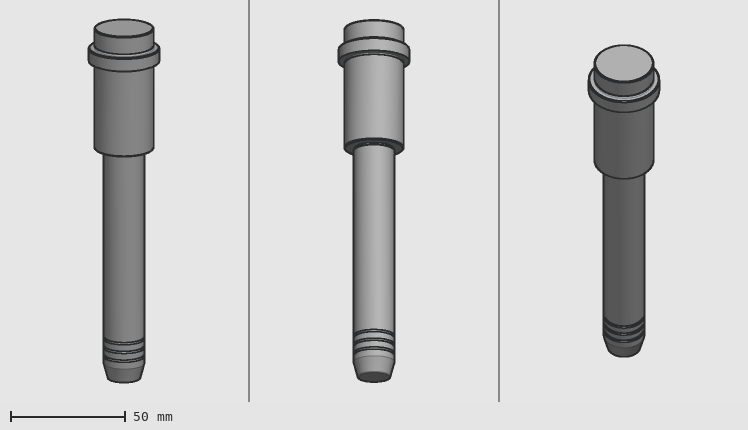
import cadquery as cq
import math

total_length = 160.0
head_length = 55.0
collar_offset = 9.0
collar_height = 6.0

head_diameter = 26.0
collar_diameter = 31.0
shaft_diameter = 18.0

edge_chamfer = 0.5
tip_fillet = 0.5

taper_length = 7.0
taper_angle = 15.0

shoulder_relief_width = 1.0
shoulder_relief_depth = 0.5

groove_radius = 0.5
ring_pitch = 4.0
ring_count = 3
first_ring_height = 10.5

shoulder_height = total_length - head_length
collar_top = total_length - collar_offset
collar_bottom = collar_top - collar_height


def cylinder(diameter, bottom, top):
    return cq.Workplane("XY").workplane(offset=bottom).circle(diameter / 2).extrude(top - bottom)


def make_head():
    return cylinder(head_diameter, shoulder_height, total_length).edges().chamfer(edge_chamfer)


def make_collar():
    """Collar with a chamfered upper rim and a sharp lower rim."""
    return cylinder(collar_diameter, collar_bottom, collar_top).faces(">Z").edges().chamfer(edge_chamfer)


def make_shaft():
    """Shaft with a conical tip whose end edge is rounded."""
    tip_radius = shaft_diameter / 2 - taper_length * math.tan(math.radians(taper_angle))
    tip = (
        cq.Workplane("XY")
        .circle(tip_radius)
        .workplane(offset=taper_length)
        .circle(shaft_diameter / 2)
        .loft(ruled=True)
        .faces("<Z")
        .edges()
        .fillet(tip_fillet)
    )
    return tip.union(cylinder(shaft_diameter, taper_length, shoulder_height))


def cut_shoulder_relief(body):
    relief = (
        cq.Workplane("XY")
        .workplane(offset=shoulder_height - shoulder_relief_width)
        .circle(shaft_diameter / 2 + shoulder_relief_depth)
        .circle(shaft_diameter / 2 - shoulder_relief_depth)
        .extrude(shoulder_relief_width)
    )
    return body.cut(relief)


def cut_round_groove(body, diameter, middle):
    """Sink a half-round groove into a cylinder, centred at height `middle`."""
    torus = cq.Solid.makeTorus(diameter / 2, groove_radius, cq.Vector(0, 0, middle))
    return body.cut(cq.Workplane(torus))


def cut_collar_grooves(body):
    for middle in (collar_top + groove_radius, collar_bottom - groove_radius):
        body = cut_round_groove(body, head_diameter, middle)
    return body


def cut_tip_rings(body):
    for index in range(ring_count):
        body = cut_round_groove(body, shaft_diameter, first_ring_height + index * ring_pitch)
    return body


body = make_head().union(make_collar()).union(make_shaft())
body = cut_shoulder_relief(body)
body = cut_collar_grooves(body)
result = cut_tip_rings(body).solids()